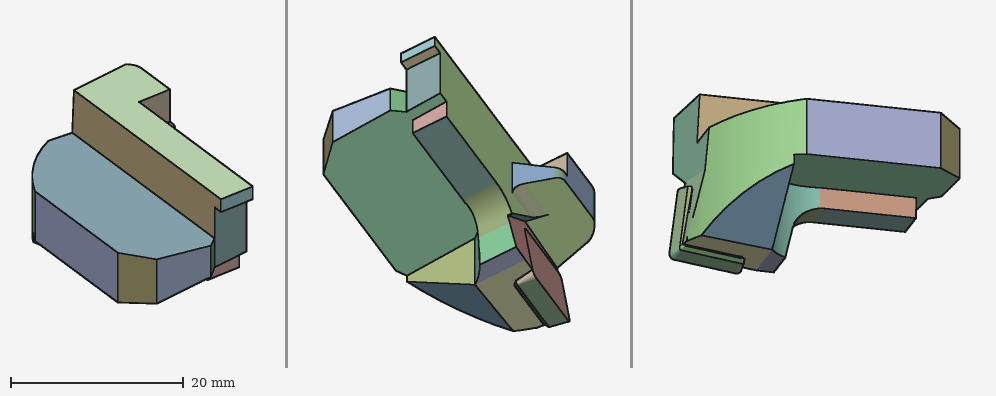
import cadquery as cq
import math

LENGTH = 31.2
HEIGHT = 20.05
DEPTH = 21.5

RAIL_FRONT = 12.45
RAIL_BACK = 17.03
RAIL_TIP_BOTTOM = 18.28
RAIL_END = 29.97

HEAD_LEFT = 1.37
HEAD_RIGHT_TOP = 9.05
HEAD_RIGHT_BACK = 10.25
HEAD_RIGHT_FRONT = 13.9
HEAD_SHELF = 15.6
HEAD_BACK_BOTTOM = 13.95
HEAD_UNDERSIDE_SLOPE = 0.65
HEAD_CORNER_RADIUS = 2.18
HEAD_RIGHT_CORNER_RADIUS = 3.2 / 2
GUTTER_FILLET = 2.5

FLANGE_TOP_FRONT = 15.8
FLANGE_TOP_BACK = 14.0
FLANGE_BOTTOM = 8.92
FLANGE_BOTTOM_ANGLE = 5.0
FRONT_CHAMFER = 3.2
BACK_CHAMFER_X = 1.25
BACK_CHAMFER_Y = 1.45

CURVE_START_X = 11.85
CURVE_MIDDLE = (5.25, 5.08)
CURVE_END = (1.03, 12.32)

BLADE_BOTTOM = 0.65
BLADE_WALL_X = 10.55
BLADE_NOSE_X = 12.7
BLADE_SLOPE_FRONT = (0.6, 7.92)
BLADE_SLOPE_BACK_Y = 9.92
BLADE_FALL_PER_X = 0.1

WEB_BOTTOM = 7.5
WEB_END = 28.57
WEB_ARC_RADIUS = 3.9
WEB_ARC_END_X = 17.47
WEB_LINE_ANGLE = 13.0
WEB_CURVE_DEPTH = 2.53
WEB_CURVE_END_X = 17.0

UPPER_FACE = (2.55, RAIL_FRONT, HEIGHT, -0.1, 0.053)
LOWER_FACE = (2.3, 9.58, 9.67, -0.11, 0.13)

INSERT_SIDE = 8.85
INSERT_THICKNESS = 2.93
INSERT_CORNER_RADIUS = 0.7
INSERT_SEAT_RADIUS = 0.1
INSERT_CLEARANCE = 11.0
INSERT_CHAMFER = 0.47
INSERT_ROLL = 6.0
INSERT_TILT = 4.7
INSERT_YAW = 1.8
INSERT_CENTER = (4.8, 16.22, 4.77)

GUTTER_END_X = 14.0
GUTTER_END_Z = 5.55

CLEAR = 6.25


def box(x0, x1, y0, y1, z0, z1):
    """Box between two corners."""
    return cq.Workplane("XY").box(x1 - x0, y1 - y0, z1 - z0, centered=False).translate((x0, y0, z0))


def side_prism(points, x0, x1, fall=0.0):
    """Prism of a (y, z) outline at x0, swept to x1 while it falls along Z."""
    wire = cq.Wire.makePolygon([cq.Vector(x0, y, z) for y, z in points], close=True)
    sweep = cq.Vector(x1 - x0, 0, -fall * (x1 - x0))
    return cq.Workplane(obj=cq.Solid.extrudeLinear(wire, [], sweep))


def end_face_cutter(face):
    """Block to the left of a slanted end face."""
    x, y, z, per_y, per_z = face
    reach = 2 * LENGTH
    plane = cq.Plane(origin=(x, y, z), xDir=(per_y, 1, 0), normal=(-1, per_y, per_z))
    return cq.Workplane(plane).rect(reach, reach).extrude(reach)


def make_front_block():
    """Stock of the flange, rail and blade, up to the back face of the rail."""
    plan = (
        cq.Workplane("XY")
        .moveTo(CURVE_START_X, 0)
        .lineTo(LENGTH - FRONT_CHAMFER, 0)
        .lineTo(LENGTH, FRONT_CHAMFER)
        .lineTo(LENGTH, RAIL_FRONT - BACK_CHAMFER_Y)
        .lineTo(LENGTH - BACK_CHAMFER_X, RAIL_FRONT)
        .lineTo(RAIL_END, RAIL_FRONT)
        .lineTo(RAIL_END, RAIL_BACK)
        .lineTo(0, RAIL_BACK)
        .lineTo(0, CURVE_END[1])
        .lineTo(*CURVE_END)
        .threePointArc(CURVE_MIDDLE, (CURVE_START_X, 0))
        .close()
        .extrude(HEIGHT)
    )
    above_flange = [
        (0, FLANGE_TOP_FRONT), (RAIL_FRONT, FLANGE_TOP_BACK),
        (RAIL_FRONT, HEIGHT + CLEAR), (0, HEIGHT + CLEAR),
    ]
    return plan.cut(side_prism(above_flange, -CLEAR, LENGTH + CLEAR))


def make_rail_tip():
    """Lip at the right end of the rail."""
    return box(RAIL_END, LENGTH, RAIL_FRONT, RAIL_BACK, RAIL_TIP_BOTTOM, HEIGHT)


def make_head():
    """Head behind the rail, with a lower shelf on its right and a sloping underside."""
    plan = (
        cq.Workplane("XY")
        .polyline([
            (HEAD_LEFT, RAIL_BACK), (HEAD_RIGHT_FRONT, RAIL_BACK),
            (HEAD_RIGHT_BACK, DEPTH), (HEAD_LEFT, DEPTH),
        ])
        .close()
        .extrude(HEIGHT)
        .edges("|Z and >Y and <X").fillet(HEAD_CORNER_RADIUS)
        .edges(cq.selectors.NearestToPointSelector((HEAD_RIGHT_BACK, DEPTH, HEIGHT / 2)))
        .fillet(HEAD_RIGHT_CORNER_RADIUS)
    )
    shelf = box(HEAD_RIGHT_TOP, LENGTH, RAIL_BACK, DEPTH, HEAD_SHELF, HEIGHT)

    turn = math.pi / 2 - math.atan(HEAD_UNDERSIDE_SLOPE)
    tangent = GUTTER_FILLET * math.tan(turn / 2)
    inner_z = HEAD_BACK_BOTTOM - HEAD_UNDERSIDE_SLOPE * (DEPTH - RAIL_BACK)
    center = (RAIL_BACK + GUTTER_FILLET, inner_z - tangent)
    slope_end = (center[0] - GUTTER_FILLET * math.cos(turn), center[1] + GUTTER_FILLET * math.sin(turn))
    middle = (
        center[0] - GUTTER_FILLET * math.cos(turn / 2),
        center[1] + GUTTER_FILLET * math.sin(turn / 2),
    )
    below = (
        cq.Workplane("YZ")
        .moveTo(RAIL_BACK, 0)
        .lineTo(RAIL_BACK, center[1])
        .threePointArc(middle, slope_end)
        .lineTo(DEPTH, HEAD_BACK_BOTTOM)
        .lineTo(DEPTH, 0)
        .close()
        .extrude(LENGTH)
    )
    return plan.cut(shelf).cut(below)


def flange_underside_cutter():
    """Space under the flange, right of the blade wall and in front of the curved web wall."""
    web_front = BLADE_SLOPE_BACK_Y + WEB_CURVE_DEPTH
    corner = math.sqrt(0.5)
    middle = (
        WEB_CURVE_END_X - (WEB_CURVE_END_X - BLADE_WALL_X) * corner,
        BLADE_SLOPE_BACK_Y + WEB_CURVE_DEPTH * corner,
    )
    plan = (
        cq.Workplane("XY")
        .moveTo(BLADE_WALL_X, -CLEAR)
        .lineTo(LENGTH + CLEAR, -CLEAR)
        .lineTo(LENGTH + CLEAR, web_front)
        .lineTo(WEB_CURVE_END_X, web_front)
        .threePointArc(middle, (BLADE_WALL_X, BLADE_SLOPE_BACK_Y))
        .close()
        .extrude(HEIGHT)
    )
    rise = math.tan(math.radians(FLANGE_BOTTOM_ANGLE))
    below_flange = [
        (-CLEAR, FLANGE_BOTTOM - rise * CLEAR), (-CLEAR, -CLEAR),
        (DEPTH, -CLEAR), (DEPTH, FLANGE_BOTTOM + rise * DEPTH),
    ]
    past_web = box(WEB_END, LENGTH + CLEAR, -CLEAR, DEPTH, -CLEAR, HEIGHT)
    return plan.union(past_web).intersect(side_prism(below_flange, 0, LENGTH + CLEAR))


def web_profile_cutter():
    """Space under the web: a flat, then an arc into the slanted edge of the blade."""
    angle = math.radians(WEB_LINE_ANGLE)
    center_z = WEB_BOTTOM - WEB_ARC_RADIUS
    half = (math.pi / 2 + angle) / 2
    middle = (
        WEB_ARC_END_X - WEB_ARC_RADIUS * math.cos(half),
        center_z + WEB_ARC_RADIUS * math.sin(half),
    )
    arc_end = (
        WEB_ARC_END_X - WEB_ARC_RADIUS * math.cos(angle),
        center_z + WEB_ARC_RADIUS * math.sin(angle),
    )
    return (
        cq.Workplane("XZ")
        .moveTo(LENGTH + CLEAR, WEB_BOTTOM)
        .lineTo(WEB_ARC_END_X, WEB_BOTTOM)
        .threePointArc(middle, arc_end)
        .lineTo(BLADE_NOSE_X, BLADE_BOTTOM)
        .lineTo(BLADE_NOSE_X, -CLEAR)
        .lineTo(LENGTH + CLEAR, -CLEAR)
        .close()
        .extrude(-DEPTH)
    )


def blade_underside_cutter():
    """Space under the blade: a front slope and a bottom, both falling toward the blade wall."""
    front_y, front_z = BLADE_SLOPE_FRONT
    slope = [
        (-CLEAR, front_z), (front_y, front_z), (BLADE_SLOPE_BACK_Y, BLADE_BOTTOM),
        (DEPTH, BLADE_BOTTOM), (DEPTH, -CLEAR), (-CLEAR, -CLEAR),
    ]
    step = box(-CLEAR, BLADE_WALL_X, -CLEAR, front_y, -CLEAR, FLANGE_BOTTOM)
    flat = box(BLADE_WALL_X, LENGTH, -CLEAR, DEPTH, -CLEAR, BLADE_BOTTOM)
    return side_prism(slope, BLADE_WALL_X, -CLEAR, BLADE_FALL_PER_X).union(step).union(flat)


def place_insert(shape):
    """Roll, tilt and yaw a shape from the insert's own frame and move it to the insert's place."""
    return (
        shape
        .rotate((0, 0, 0), (0, 1, 0), INSERT_ROLL)
        .rotate((0, 0, 0), (1, 0, 0), INSERT_TILT)
        .rotate((0, 0, 0), (0, 0, 1), INSERT_YAW)
        .translate(INSERT_CENTER)
    )


def gutter_cutter():
    """Chip space behind the rake face, under the head and left of a slanted end."""
    behind_rake = place_insert(cq.Workplane("XZ").rect(2 * LENGTH, 2 * LENGTH).extrude(-LENGTH))
    under_head = side_prism(
        [
            (0, HEAD_BACK_BOTTOM - HEAD_UNDERSIDE_SLOPE * DEPTH), (DEPTH, HEAD_BACK_BOTTOM),
            (DEPTH, -CLEAR), (0, -CLEAR),
        ],
        -CLEAR,
        GUTTER_END_X,
    )
    run = HEIGHT - GUTTER_END_Z
    slanted_end = (
        cq.Workplane("XZ")
        .polyline([
            (-CLEAR, -CLEAR), (GUTTER_END_X, -CLEAR), (GUTTER_END_X, GUTTER_END_Z),
            (GUTTER_END_X - run, HEIGHT), (-CLEAR, HEIGHT),
        ])
        .close()
        .extrude(-DEPTH)
    )
    return behind_rake.intersect(under_head).intersect(slanted_end)


def insert_layer(depth, side, radius, next_depth, next_side, next_radius):
    """Part of the insert between two rounded squares at two depths in front of the rake face."""
    section = cq.Sketch().rect(side, side).vertices().fillet(radius)
    next_section = cq.Sketch().rect(next_side, next_side).vertices().fillet(next_radius)
    step = cq.Location(cq.Vector(0, 0, next_depth - depth))
    plane = cq.Workplane("XZ", origin=(0, -depth, 0))
    return plane.placeSketch(section, next_section.moved(step)).loft(ruled=True)


def make_insert():
    """Square insert with relieved flanks and a chamfered seat side."""
    flank_depth = INSERT_THICKNESS - INSERT_CHAMFER
    inset = flank_depth * math.tan(math.radians(INSERT_CLEARANCE))
    flank_side = INSERT_SIDE - 2 * inset
    flank_radius = INSERT_CORNER_RADIUS - inset
    seat_side = flank_side - 2 * INSERT_CHAMFER
    flanks = insert_layer(0, INSERT_SIDE, INSERT_CORNER_RADIUS, flank_depth, flank_side, flank_radius)
    seat = insert_layer(
        flank_depth, flank_side, flank_radius, INSERT_THICKNESS, seat_side, INSERT_SEAT_RADIUS
    )
    return place_insert(flanks.union(seat))


def make_holder(insert):
    """Tool head with a pocket that matches the insert."""
    holder = make_front_block().union(make_rail_tip()).union(make_head())
    holder = holder.cut(end_face_cutter(UPPER_FACE).intersect(end_face_cutter(LOWER_FACE)))
    holder = holder.cut(flange_underside_cutter())
    holder = holder.cut(web_profile_cutter())
    holder = holder.cut(blade_underside_cutter())
    holder = holder.cut(gutter_cutter())
    return holder.cut(insert)


insert = make_insert()
holder = make_holder(insert)
result = cq.Compound.makeCompound([holder.val(), insert.val()])